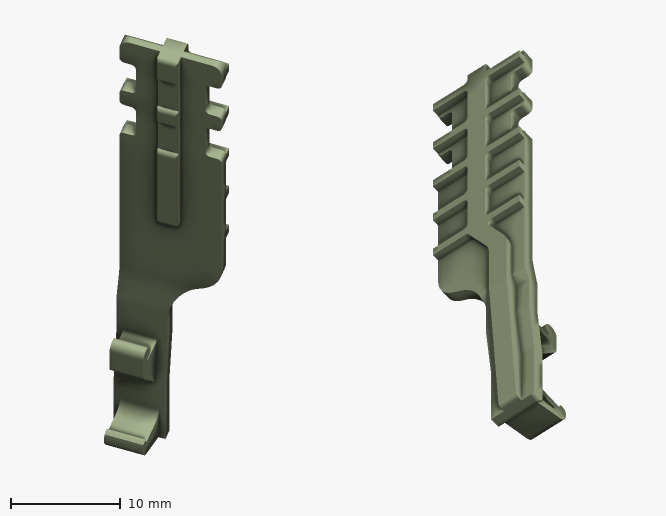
import cadquery as cq
import math


length = 53.0
width = 9.9
tail_width = 4.95
depth = 7.85
small_radius = 0.5
margin = 2.65

head_corner_radius = 1.0
notch_depth = 1.6
notch_height = 4.0
shoulder_z = 40.0
tab_bottom_z = shoulder_z + notch_height
tab_top_z = 46.0
head_bottom_z = tab_top_z + notch_height

step_inner_radius = width - tail_width
step_outer_radius = 3.6
step_inner_z = 16.5

rear_layer = 0.8
tail_rear_y = -1.45
rear_bend_top_z = 18.2
rear_bend_bottom_z = 17.05
plate_front_y = -1.95
tail_front_y = -2.75
foot_front_y = -3.5
bend_top_z = 20.55
bend_bottom_z = 17.5
lean_top_z = 13.0
lean_bottom_z = 7.05
bend_top_radius = 4.4
bend_bottom_radius = 1.9
lean_radius = 9.55
rear_slant_top_z = 16.95
foot_rear_y = -1.45

spine_width = 2.0
spine_left = (width - spine_width) / 2
spine_right = (width + spine_width) / 2
rib_thickness = 1.0
rib_centres_z = [51.0, 45.0, 39.0, 33.7, 28.2]
tail_spine_left = (tail_width - spine_width) / 2
spine_jog_angle = 30
spine_jog_radius = 3.2

rail_front_y = -2.6
pad_front_y = rail_front_y - small_radius
rail_bottom_z = 29.95
pad_bevel_x = 0.15
pad_bevel_y = 0.3

hook_left = 0.65
upper_hook_width = 3.3
lower_hook_width = 3.75
hook_recess_depth = 1.5
hook_embed = 0.25


def tangent_corner(before, corner, after, radius):
    """Return start, middle and end of the arc that rounds a corner."""
    def unit(a, b):
        size = math.dist(a, b)
        return ((b[0] - a[0]) / size, (b[1] - a[1]) / size)

    u = unit(corner, before)
    v = unit(corner, after)
    half_angle = math.acos(u[0] * v[0] + u[1] * v[1]) / 2
    setback = radius / math.tan(half_angle)
    bisector = unit((0, 0), (u[0] + v[0], u[1] + v[1]))
    to_middle = radius / math.sin(half_angle) - radius
    start = (corner[0] + u[0] * setback, corner[1] + u[1] * setback)
    middle = (corner[0] + bisector[0] * to_middle, corner[1] + bisector[1] * to_middle)
    end = (corner[0] + v[0] * setback, corner[1] + v[1] * setback)
    return start, middle, end


def rounded_outline(plane, corners):
    """Closed outline through (a, b, radius) corners; radius 0 keeps a corner sharp."""
    points = [corner[:2] for corner in corners]
    stretches = []
    for i, (a, b, radius) in enumerate(corners):
        if radius:
            following = points[(i + 1) % len(points)]
            stretches.append(tangent_corner(points[i - 1], (a, b), following, radius))
        else:
            stretches.append(((a, b),))
    outline = plane.moveTo(*stretches[0][-1])
    for stretch in stretches[1:] + stretches[:1]:
        outline = outline.lineTo(*stretch[0])
        if len(stretch) > 1:
            outline = outline.threePointArc(*stretch[1:])
    return outline.wire()


def extrude_x(corners, start_x, size):
    """Prism along +X from (y, z, radius) corners."""
    return rounded_outline(cq.Workplane("YZ").workplane(offset=start_x), corners).extrude(size)


def extrude_through(corners):
    """Prism through the whole depth from (x, z, radius) corners."""
    return rounded_outline(cq.Workplane("XZ"), corners).extrude(depth)


def face_outline():
    """Front outline of the plate, pushed through the whole depth."""
    r = small_radius
    left_side = [
        (notch_depth, shoulder_z, r),
        (notch_depth, tab_bottom_z, r),
        (0, tab_bottom_z, r),
        (0, tab_top_z, r),
        (notch_depth, tab_top_z, r),
        (notch_depth, head_bottom_z, r),
        (0, head_bottom_z, r),
        (0, length, head_corner_radius),
    ]
    right_side = [(width - x, z, radius) for x, z, radius in reversed(left_side)]
    upper = [(0, step_inner_z, 0), (0, shoulder_z, r)] + left_side
    upper += right_side + [(width, shoulder_z, r), (width, step_inner_z, 0)]
    blank = extrude_through(upper)

    reach = step_outer_radius + step_inner_radius
    outer_centre_x = width - step_outer_radius
    rise = math.sqrt(reach**2 - step_outer_radius**2)
    outer_z = step_inner_z + rise
    share = step_inner_radius / reach
    meet = (width - share * step_outer_radius, step_inner_z + share * rise)
    angle_inner = math.atan2(rise, -step_outer_radius)
    angle_inner_middle = (math.pi + angle_inner) / 2
    angle_outer_middle = (angle_inner - math.pi) / 2
    inner_middle = (
        width + step_inner_radius * math.cos(angle_inner_middle),
        step_inner_z + step_inner_radius * math.sin(angle_inner_middle),
    )
    outer_middle = (
        outer_centre_x + step_outer_radius * math.cos(angle_outer_middle),
        outer_z + step_outer_radius * math.sin(angle_outer_middle),
    )
    step_cut = (
        cq.Workplane("XZ")
        .moveTo(tail_width, step_inner_z)
        .threePointArc(inner_middle, meet)
        .threePointArc(outer_middle, (width, outer_z))
        .lineTo(width + margin, outer_z)
        .lineTo(width + margin, step_inner_z)
        .close()
        .extrude(depth)
    )
    tail = extrude_through([
        (0, 0, small_radius),
        (0, step_inner_z, 0),
        (tail_width, step_inner_z, 0),
        (tail_width, 0, 0),
    ])
    return blank.cut(step_cut).union(tail)


def plate_blank():
    """Plate with its cranked side profile, before the rear layer is thinned."""
    side = [
        (0, length, 0),
        (plate_front_y, length, 0),
        (plate_front_y, bend_top_z, bend_top_radius),
        (tail_front_y, bend_bottom_z, bend_bottom_radius),
        (tail_front_y, lean_top_z, 0),
        (foot_front_y, lean_bottom_z, lean_radius),
        (foot_front_y, 0, small_radius),
        (foot_rear_y, 0, small_radius),
        (0, rear_slant_top_z, 0),
    ]
    return extrude_x(side, 0, width).intersect(face_outline())


def rear_space():
    """Everything behind the plain plate, which the spine and ribs partly fill."""
    tail_foot_y = foot_rear_y - rear_layer
    return extrude_x(
        [
            (margin, length + margin, 0),
            (-rear_layer, length + margin, 0),
            (-rear_layer, rear_bend_top_z, 0),
            (tail_rear_y, rear_bend_bottom_z, 0),
            (tail_rear_y, lean_top_z, 0),
            (tail_foot_y, lean_bottom_z, 0),
            (tail_foot_y, -margin, 0),
            (margin, -margin, 0),
        ],
        -margin, width + 2 * margin,
    )


def pockets_beside_spine(outside_x, spine_x, tail_spine_x):
    """Pockets from one side edge of the plate to one flank of the spine."""
    r = small_radius
    half_rib = rib_thickness / 2
    jog_top = rib_centres_z[-1] - half_rib
    jog_drop = (spine_left - tail_spine_left) / math.tan(math.radians(spine_jog_angle))
    pockets = extrude_through([
        (outside_x, -margin, 0),
        (tail_spine_x, -margin, 0),
        (tail_spine_x, jog_top - jog_drop, spine_jog_radius),
        (spine_x, jog_top, r),
        (outside_x, jog_top, 0),
    ])
    ceilings = [length + margin] + [z - half_rib for z in rib_centres_z[:-1]]
    for ceiling, rib_z in zip(ceilings, rib_centres_z):
        floor = rib_z + half_rib
        pockets = pockets.union(extrude_through([
            (outside_x, floor, 0),
            (spine_x, floor, r),
            (spine_x, ceiling, r),
            (outside_x, ceiling, 0),
        ]))
    return pockets


def ribbed_plate():
    """Plate with the rear layer thinned to a spine and cross ribs, and its top rear edge bevelled."""
    left = pockets_beside_spine(-margin, spine_left, tail_spine_left)
    right = pockets_beside_spine(width + margin, spine_right, tail_spine_left + spine_width)
    plate = plate_blank().cut(left.union(right).intersect(rear_space()))
    for start_x in (0, spine_right):
        bevel = [
            (-rear_layer, length, 0),
            (-rear_layer - small_radius, length, 0),
            (-rear_layer, length - small_radius, 0),
        ]
        plate = plate.cut(extrude_x(bevel, start_x, spine_left))
    return plate.edges(">Z and >Y").fillet(small_radius)


def front_rail():
    """Rail on the front face with three raised, bevelled pads."""
    r = small_radius
    r_to_arc = r * (1 - math.sqrt(0.5))
    rail_height = length - rail_bottom_z
    rail = cq.Workplane("XY").box(
        spine_width, plate_front_y - rail_front_y, rail_height, centered=False
    ).translate((spine_left, rail_front_y, rail_bottom_z))
    root = (
        cq.Workplane("YZ").workplane(offset=spine_left)
        .moveTo(plate_front_y, rail_bottom_z)
        .lineTo(plate_front_y - r, rail_bottom_z)
        .threePointArc(
            (plate_front_y - r_to_arc, rail_bottom_z - r_to_arc),
            (plate_front_y, rail_bottom_z - r),
        )
        .close()
        .extrude(spine_width)
    )
    section = (
        cq.Workplane("XY")
        .polyline([
            (spine_left, plate_front_y),
            (spine_left, pad_front_y + pad_bevel_y),
            (spine_left + pad_bevel_x, pad_front_y),
            (spine_right - pad_bevel_x, pad_front_y),
            (spine_right, pad_front_y + pad_bevel_y),
            (spine_right, plate_front_y),
        ])
        .close()
        .extrude(length)
    )
    rail = rail.union(root)
    pads = [(rail_bottom_z, shoulder_z), (tab_bottom_z, tab_top_z), (head_bottom_z, length)]
    for bottom, top in pads:
        side = [
            (plate_front_y, bottom, 0),
            (plate_front_y, top, 0),
            (pad_front_y, top, r),
            (pad_front_y, bottom, r),
        ]
        rail = rail.union(extrude_x(side, spine_left, spine_width).intersect(section))
    return rail


def upper_hook():
    """Braced shelf ending in an upright lip with a round bead on top."""
    bead_radius = 0.8
    root_radius = 0.3
    outer_y = -6.4
    neck_y = -5.25
    foot_y = -3.4
    shelf_z = lean_top_z
    bead_z = 14.0
    elbow_z = 11.6
    elbow_radius = 1.0
    foot_z = 7.85
    foot_end_z = 7.6
    recess_top_z = 12.2
    recess_bottom_z = 9.35
    recess_outer_y = -5.8
    recess_inner_y = -3.5
    recess_outer_radius = 0.3
    recess_inner_radius = 0.15
    root_y = tail_front_y + hook_embed
    body = extrude_x(
        [
            (root_y, shelf_z + 2 * root_radius, 0),
            (tail_front_y, shelf_z + 2 * root_radius, 0),
            (tail_front_y, shelf_z, root_radius),
            (neck_y, shelf_z, 0),
            (neck_y, bead_z, 0),
            (outer_y, bead_z, 0),
            (outer_y, elbow_z, elbow_radius),
            (foot_y, foot_z, small_radius),
            (foot_y, foot_end_z, 0),
            (root_y, foot_end_z, 0),
        ],
        hook_left, upper_hook_width,
    )
    bead = (
        cq.Workplane("YZ").workplane(offset=hook_left)
        .center(outer_y + bead_radius, bead_z)
        .circle(bead_radius)
        .extrude(upper_hook_width)
    )
    recess = extrude_x(
        [
            (root_y, recess_top_z, 0),
            (recess_outer_y, recess_top_z, recess_outer_radius),
            (recess_inner_y, recess_bottom_z, recess_inner_radius),
            (root_y, recess_bottom_z, 0),
        ],
        hook_left, hook_recess_depth,
    )
    return body.union(bead).cut(recess)


def lower_hook():
    """Braced shelf with a hollow root and a short bevelled lip."""
    shelf_z = 3.4
    shelf_root_z = 4.75
    shelf_root_radius = 1.15
    lip_y = -7.1
    lip_facets = [(lip_y, 4.05), (-7.35, 4.0), (-7.7, 3.85), (-7.8, 3.6), (-depth, 3.3)]
    elbow_z = 2.1
    elbow_radius = 1.6
    recess_top_z = 2.6
    recess_end_z = 2.3
    recess_bottom_z = 1.5
    recess_outer_y = -6.15
    root_y = foot_front_y + hook_embed
    body = extrude_x(
        [
            (root_y, shelf_root_z, 0),
            (foot_front_y, shelf_root_z, 0),
            (foot_front_y, shelf_z, shelf_root_radius),
            (lip_y, shelf_z, small_radius),
            *[(y, z, 0) for y, z in lip_facets],
            (-depth, elbow_z, elbow_radius),
            (foot_front_y, small_radius, 0),
            (root_y, small_radius, 0),
        ],
        hook_left, lower_hook_width,
    )
    recess = extrude_x(
        [
            (root_y, recess_top_z, 0),
            (recess_outer_y, recess_top_z, 0),
            (recess_outer_y, recess_end_z, 0),
            (foot_front_y, recess_bottom_z, 0),
            (root_y, recess_bottom_z, 0),
        ],
        hook_left, hook_recess_depth,
    )
    return body.cut(recess)


result = ribbed_plate().union(front_rail()).union(upper_hook()).union(lower_hook())